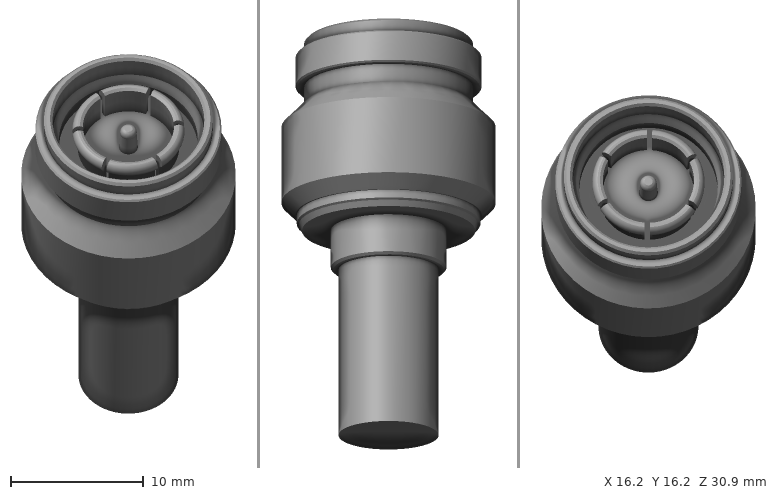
import cadquery as cq

TOTAL_HEIGHT = 30.95
BODY_DIAMETER = 16.2
BODY_RADIUS = BODY_DIAMETER / 2

TUBE_RADIUS = 3.78
SLEEVE_RADIUS = 4.35
SLEEVE_BOTTOM_Z = 13.0
SLEEVE_CHAMFER = 0.2

BODY_BOTTOM_Z = 16.1
BODY_BOTTOM_RADIUS = 6.53
BOTTOM_TAPER_TOP_Z = 16.53
BOTTOM_TAPER_RADIUS = 6.78
LOWER_BAND_RADIUS = 6.93
LOWER_BAND_BOTTOM_Z = 16.65
LOWER_BAND_TOP_Z = 17.27
LOWER_CONE_RADIUS = 7.05

BODY_CYLINDER_BOTTOM_Z = 18.3
BODY_CYLINDER_TOP_Z = 24.2
NECK_BOTTOM_Z = 25.97
NECK_RADIUS = 6.38
NECK_CHAMFER = 0.2

COLLAR_RADIUS = 7.03
COLLAR_BOTTOM_Z = 27.33
COLLAR_TOP_Z = 29.8
COLLAR_CHAMFER = 0.12

MOUTH_RADIUS = 5.73
MOUTH_CHAMFER = 0.2
TAPER_START_DEPTH = 1.83
TAPER_END_DEPTH = 2.4
SOCKET_RADIUS = 5.23
SOCKET_DEPTH = 3.4
SOCKET_FLOOR_Z = TOTAL_HEIGHT - SOCKET_DEPTH

FINGER_COUNT = 6
FINGER_INNER_RADIUS = 3.45
FINGER_OUTER_RADIUS = 3.85
FINGER_CHAMFER_WIDTH = 0.22
FINGER_CHAMFER_HEIGHT = 0.12
FINGER_TOP_Z = TOTAL_HEIGHT - 0.8
BEAD_HEIGHT = 1.1
BEAD_BULGE = 0.4
SLOT_WIDTH = 0.4

PIN_BASE_RADIUS = 0.7
PIN_SHOULDER_RADIUS = 0.62
PIN_TIP_RADIUS = 0.3
PIN_TOP_Z = TOTAL_HEIGHT - 1.18
PIN_NOSE_HEIGHT = 0.55
NOSE_ARC_OUTWARD = 0.1


def revolve(profile):
    """Spin a closed (radius, height) profile about the Z axis."""
    return profile.close().revolve(360, (0, 0, 0), (0, 1, 0))


def make_shell():
    """Solid outside shape, from the cable tube up to the rim."""
    outline = [
        (0, 0),
        (TUBE_RADIUS, 0),
        (TUBE_RADIUS, SLEEVE_BOTTOM_Z),
        (SLEEVE_RADIUS - SLEEVE_CHAMFER, SLEEVE_BOTTOM_Z),
        (SLEEVE_RADIUS, SLEEVE_BOTTOM_Z + SLEEVE_CHAMFER),
        (SLEEVE_RADIUS, BODY_BOTTOM_Z),
        (BODY_BOTTOM_RADIUS, BODY_BOTTOM_Z),
        (BOTTOM_TAPER_RADIUS, BOTTOM_TAPER_TOP_Z),
        (LOWER_BAND_RADIUS, LOWER_BAND_BOTTOM_Z),
        (LOWER_BAND_RADIUS, LOWER_BAND_TOP_Z),
        (LOWER_CONE_RADIUS, LOWER_BAND_TOP_Z),
        (BODY_RADIUS, BODY_CYLINDER_BOTTOM_Z),
        (BODY_RADIUS, BODY_CYLINDER_TOP_Z),
        (NECK_RADIUS, NECK_BOTTOM_Z),
        (NECK_RADIUS, COLLAR_BOTTOM_Z),
        (COLLAR_RADIUS - COLLAR_CHAMFER, COLLAR_BOTTOM_Z),
        (COLLAR_RADIUS, COLLAR_BOTTOM_Z + COLLAR_CHAMFER),
        (COLLAR_RADIUS, COLLAR_TOP_Z - COLLAR_CHAMFER),
        (COLLAR_RADIUS - COLLAR_CHAMFER, COLLAR_TOP_Z),
        (NECK_RADIUS, COLLAR_TOP_Z),
        (NECK_RADIUS, TOTAL_HEIGHT - NECK_CHAMFER),
        (NECK_RADIUS - NECK_CHAMFER, TOTAL_HEIGHT),
        (0, TOTAL_HEIGHT),
    ]
    return revolve(cq.Workplane("XZ").polyline(outline))


def make_socket():
    """Stepped cavity: chamfered mouth, taper, then a straight bore."""
    outline = [
        (0, SOCKET_FLOOR_Z),
        (SOCKET_RADIUS, SOCKET_FLOOR_Z),
        (SOCKET_RADIUS, TOTAL_HEIGHT - TAPER_END_DEPTH),
        (MOUTH_RADIUS, TOTAL_HEIGHT - TAPER_START_DEPTH),
        (MOUTH_RADIUS, TOTAL_HEIGHT - MOUTH_CHAMFER),
        (MOUTH_RADIUS + MOUTH_CHAMFER, TOTAL_HEIGHT),
        (0, TOTAL_HEIGHT),
    ]
    return revolve(cq.Workplane("XZ").polyline(outline))


def make_fingers():
    """Ring with a rounded bead at its outer top edge, slotted into fingers."""
    ring = revolve(
        cq.Workplane("XZ")
        .moveTo(FINGER_INNER_RADIUS, SOCKET_FLOOR_Z)
        .lineTo(FINGER_OUTER_RADIUS, SOCKET_FLOOR_Z)
        .lineTo(FINGER_OUTER_RADIUS, FINGER_TOP_Z - BEAD_HEIGHT)
        .threePointArc(
            (FINGER_OUTER_RADIUS + BEAD_BULGE, FINGER_TOP_Z - BEAD_HEIGHT / 2),
            (FINGER_OUTER_RADIUS, FINGER_TOP_Z),
        )
        .lineTo(FINGER_INNER_RADIUS + FINGER_CHAMFER_WIDTH, FINGER_TOP_Z)
        .lineTo(FINGER_INNER_RADIUS, FINGER_TOP_Z - FINGER_CHAMFER_HEIGHT)
    )
    slot = (
        cq.Workplane("XY", origin=(0, 0, SOCKET_FLOOR_Z))
        .rect(2 * SOCKET_RADIUS, SLOT_WIDTH)
        .extrude(SOCKET_DEPTH)
    )
    for index in range(FINGER_COUNT // 2):
        ring = ring.cut(slot.rotate((0, 0, 0), (0, 0, 1), index * 360 / FINGER_COUNT))
    return ring


def make_pin():
    """Slightly tapered centre pin with a rounded nose and a small flat tip."""
    nose_base_z = PIN_TOP_Z - PIN_NOSE_HEIGHT
    nose_middle = (
        (PIN_SHOULDER_RADIUS + PIN_TIP_RADIUS) / 2 + NOSE_ARC_OUTWARD,
        nose_base_z + PIN_NOSE_HEIGHT / 2 + NOSE_ARC_OUTWARD,
    )
    return revolve(
        cq.Workplane("XZ")
        .moveTo(0, SOCKET_FLOOR_Z)
        .lineTo(PIN_BASE_RADIUS, SOCKET_FLOOR_Z)
        .lineTo(PIN_SHOULDER_RADIUS, nose_base_z)
        .threePointArc(nose_middle, (PIN_TIP_RADIUS, PIN_TOP_Z))
        .lineTo(0, PIN_TOP_Z)
    )


result = make_shell().cut(make_socket()).union(make_fingers()).union(make_pin())